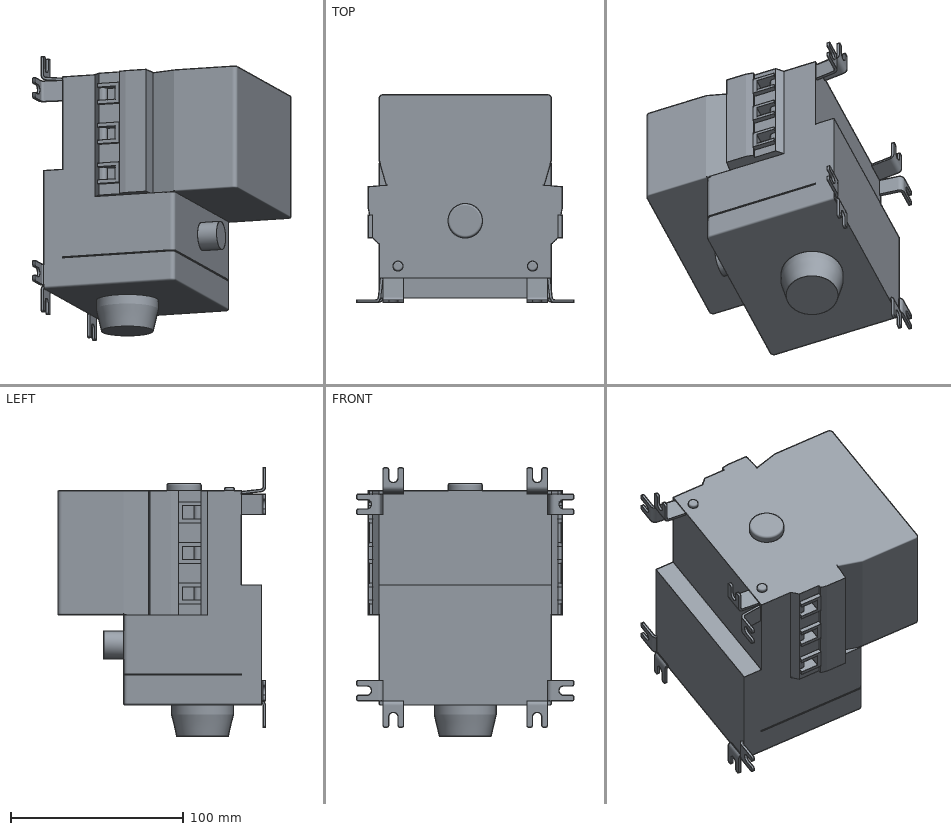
import cadquery as cq
import math

HOUSING_WIDTH = 100.0
HALF_WIDTH = HOUSING_WIDTH / 2
HOUSING_HEIGHT = 124.3
BASE_FRONT = 2.4
BASE_BACK = 82.4
BASE_STEP_HEIGHT = 69.7
UPPER_FRONT = 14.0
UPPER_BACK = 120.48
UPPER_HEIGHT = 72.0
UPPER_BOTTOM = HOUSING_HEIGHT - UPPER_HEIGHT
REAR_CORNER_RADIUS = 2.5
BASE_RIM_RADIUS = 1.2
UPPER_RIM_RADIUS = 0.8

GROOVE_BOTTOM = 17.4
GROOVE_WIDTH = 0.6
GROOVE_DEPTH = 0.3

NOTCH_HALF_WIDTH = 45.8
NOTCH_TIP = 67.9
WING_HALF_WIDTH = 56.3
WING_BACK = 67.1
WING_SHOULDER = 54.8
WING_NECK_HALF_WIDTH = 55.5
RECESS_HALF_WIDTH = 53.7
RECESS_BACK = 50.6
RECESS_FRONT = 37.4
WING_FRONT = 33.8

TERMINAL_COUNT = 3
TERMINAL_PITCH = 23.5
TERMINAL_HEIGHT = 12.0
FIRST_TERMINAL_DROP = 6.6
FIRST_TERMINAL_TOP = HOUSING_HEIGHT - FIRST_TERMINAL_DROP
WINDOW_HEIGHT = 7.8
WINDOW_LENGTH = 10.8
WINDOW_LAND = 1.8
WINDOW_LIP_RADIUS = 2.4

BUTTON_RADIUS = 10.0
BUTTON_HEIGHT = 4.3
BUTTON_EDGE_RADIUS = 1.3
BUTTON_Y = 47.3
SCREW_RADIUS = 2.9
SCREW_HEIGHT = 1.9
SCREW_EDGE_RADIUS = 1.0
SCREW_SPACING = 78.0
SCREW_Y = 21.0
REAR_BUTTON_RADIUS = 8.2
REAR_BUTTON_BACK = 94.0
REAR_BUTTON_Z = 34.8
KNOB_RADIUS = 18.0
KNOB_TIP_RADIUS = 15.0
KNOB_Y = 36.6
KNOB_COLLAR_HEIGHT = 5.5
KNOB_HEIGHT = 18.1

LUG_WIDTH = 12.0
LUG_REACH = 15.3
LUG_THICKNESS = 1.5
LUG_SLOT_WIDTH = 5.3
LUG_SLOT_DEPTH = 8.6
LUG_TIP_RADIUS = 1.2
BEND_RADIUS = 1.5
UPPER_FOOT_ANGLE = 6.5
LOWER_FOOT_ANGLE = 45.0
LUG_SPAN = 126.01
FOOT_OVERLAP = 0.1
CORNER_X = LUG_SPAN / 2 - LUG_REACH
LUG_RISE = 13.4
UPPER_CORNER_Z = HOUSING_HEIGHT + LUG_RISE - LUG_REACH
LOWER_CORNER_Z = 2.4


def box(x_range, y_range, z_range):
    """Box spanning the given limits."""
    size = [high - low for low, high in (x_range, y_range, z_range)]
    corner = cq.Vector(x_range[0], y_range[0], z_range[0])
    return cq.Workplane(cq.Solid.makeBox(*size, corner))


def both_sides(body):
    """The body together with its mirror image across X = 0."""
    return body.union(body.mirror("YZ"))


def make_base():
    side = (-HALF_WIDTH, HALF_WIDTH)
    base = box(side, (BASE_FRONT, BASE_BACK), (0, UPPER_BOTTOM))
    base = base.edges("|Z and >Y").fillet(REAR_CORNER_RADIUS)
    base = base.faces("<Z").edges("not <Y").fillet(BASE_RIM_RADIUS)
    front = box(side, (BASE_FRONT, UPPER_FRONT), (UPPER_BOTTOM, BASE_STEP_HEIGHT))
    return base.union(front).cut(make_groove())


def make_groove():
    height = (GROOVE_BOTTOM, GROOVE_BOTTOM + GROOVE_WIDTH)
    outside = box((-HOUSING_WIDTH, HOUSING_WIDTH), (UPPER_FRONT, UPPER_BACK), height)
    core_half = HALF_WIDTH - GROOVE_DEPTH
    core = box((-core_half, core_half), (0, BASE_BACK - GROOVE_DEPTH), height)
    core = core.edges("|Z and >Y").fillet(REAR_CORNER_RADIUS - GROOVE_DEPTH)
    return outside.cut(core)


def edges_behind(y):
    """Selector for the edges whose centres lie behind the given Y."""
    low = (-HOUSING_WIDTH, y + UPPER_RIM_RADIUS, 0)
    high = (HOUSING_WIDTH, UPPER_BACK + UPPER_RIM_RADIUS, HOUSING_HEIGHT + UPPER_RIM_RADIUS)
    return cq.selectors.BoxSelector(low, high)


def make_upper_block():
    right_side = [
        (HALF_WIDTH, UPPER_FRONT),
        (HALF_WIDTH, WING_FRONT),
        (RECESS_HALF_WIDTH, RECESS_FRONT),
        (RECESS_HALF_WIDTH, RECESS_BACK),
        (WING_NECK_HALF_WIDTH, RECESS_BACK),
        (WING_HALF_WIDTH, WING_SHOULDER),
        (WING_HALF_WIDTH, WING_BACK),
        (NOTCH_HALF_WIDTH, NOTCH_TIP),
        (HALF_WIDTH, BASE_BACK),
        (HALF_WIDTH, UPPER_BACK),
    ]
    left_side = [(-x, y) for x, y in reversed(right_side)]
    block = cq.Workplane("XY", origin=(0, 0, UPPER_BOTTOM)).polyline(right_side + left_side).close()
    block = block.extrude(HOUSING_HEIGHT - UPPER_BOTTOM)
    block = block.edges("|Z and >Y").fillet(REAR_CORNER_RADIUS)
    rear = edges_behind(NOTCH_TIP)
    overhang = edges_behind(BASE_BACK)
    block = block.faces(">Z").edges(rear).fillet(UPPER_RIM_RADIUS)
    return block.faces("<Z").edges(overhang).fillet(UPPER_RIM_RADIUS)


def make_terminal_window(z_bottom):
    """Opening through a terminal's face and front, with a deeper pocket behind a rounded lip."""
    lip_y = RECESS_FRONT + WINDOW_LAND
    window = (
        cq.Workplane("XY", origin=(0, 0, z_bottom))
        .moveTo(WING_HALF_WIDTH, RECESS_FRONT)
        .lineTo(RECESS_HALF_WIDTH, RECESS_FRONT)
        .lineTo(RECESS_HALF_WIDTH, lip_y)
        .radiusArc((RECESS_HALF_WIDTH - WINDOW_LIP_RADIUS, lip_y + WINDOW_LIP_RADIUS), -WINDOW_LIP_RADIUS)
        .lineTo(HALF_WIDTH, lip_y + WINDOW_LIP_RADIUS)
        .lineTo(HALF_WIDTH, RECESS_FRONT + WINDOW_LENGTH)
        .lineTo(WING_HALF_WIDTH, RECESS_FRONT + WINDOW_LENGTH)
        .close()
    )
    return window.extrude(WINDOW_HEIGHT)


def add_terminals(body):
    for index in range(TERMINAL_COUNT):
        top = FIRST_TERMINAL_TOP - index * TERMINAL_PITCH
        bottom = top - TERMINAL_HEIGHT
        block = box((RECESS_HALF_WIDTH, WING_HALF_WIDTH), (RECESS_FRONT, RECESS_BACK), (bottom, top))
        window = make_terminal_window(bottom + (TERMINAL_HEIGHT - WINDOW_HEIGHT) / 2)
        body = body.union(both_sides(block)).cut(both_sides(window))
    return body


def make_top_button():
    button = cq.Workplane("XY", origin=(0, BUTTON_Y, HOUSING_HEIGHT)).circle(BUTTON_RADIUS)
    return button.extrude(BUTTON_HEIGHT).faces(">Z").edges().fillet(BUTTON_EDGE_RADIUS)


def make_screws():
    screw = cq.Workplane("XY", origin=(SCREW_SPACING / 2, SCREW_Y, HOUSING_HEIGHT)).circle(SCREW_RADIUS)
    screw = screw.extrude(SCREW_HEIGHT).faces(">Z").edges().fillet(SCREW_EDGE_RADIUS)
    return both_sides(screw)


def make_rear_button():
    button = cq.Workplane("XZ", origin=(0, BASE_BACK, REAR_BUTTON_Z)).circle(REAR_BUTTON_RADIUS)
    return button.extrude(BASE_BACK - REAR_BUTTON_BACK)


def make_knob():
    half_section = [
        (0, 0),
        (KNOB_RADIUS, 0),
        (KNOB_RADIUS, -KNOB_COLLAR_HEIGHT),
        (KNOB_TIP_RADIUS, -KNOB_HEIGHT),
        (0, -KNOB_HEIGHT),
    ]
    knob = cq.Workplane("XZ", origin=(0, KNOB_Y, 0)).polyline(half_section).close()
    return knob.revolve(360, (0, 0), (0, 1))


def make_lug(foot_angle, wall_y):
    """Lug pointing along +Z, its width along +X from 0; its foot reaches the wall at Z = 0, below the plate.

    The foot slopes at foot_angle to the Y axis and bends into the upright plate. Its end is square
    to the slope, so only the upper corner of the end is sunk into the wall.
    """
    angle = math.radians(foot_angle)
    slope = math.tan(angle)
    end_top_y = wall_y + FOOT_OVERLAP
    end_bottom_y = end_top_y - LUG_THICKNESS * math.sin(angle)
    end_top_z = LUG_THICKNESS * math.cos(angle)
    heel_z = end_bottom_y * slope
    inner_heel_z = end_top_z + (end_top_y - LUG_THICKNESS) * slope
    section = [
        (0, LUG_REACH),
        (0, heel_z),
        (end_bottom_y, 0),
        (end_top_y, end_top_z),
        (LUG_THICKNESS, inner_heel_z),
        (LUG_THICKNESS, LUG_REACH),
    ]
    lug = cq.Workplane("YZ").polyline(section).close().extrude(LUG_WIDTH)
    outer_bend = cq.selectors.NearestToPointSelector((LUG_WIDTH / 2, 0, heel_z))
    lug = lug.edges("|X").edges(outer_bend).fillet(BEND_RADIUS + LUG_THICKNESS)
    inner_bend = cq.selectors.NearestToPointSelector((LUG_WIDTH / 2, LUG_THICKNESS, inner_heel_z))
    lug = lug.edges("|X").edges(inner_bend).fillet(BEND_RADIUS)
    slot_radius = LUG_SLOT_WIDTH / 2
    slot = (
        cq.Workplane("XZ", origin=(LUG_WIDTH / 2, 0, LUG_REACH))
        .moveTo(-slot_radius, 0)
        .lineTo(-slot_radius, slot_radius - LUG_SLOT_DEPTH)
        .radiusArc((slot_radius, slot_radius - LUG_SLOT_DEPTH), -slot_radius)
        .lineTo(slot_radius, 0)
        .close()
        .extrude(-LUG_THICKNESS)
    )
    return lug.cut(slot).faces(">Z").edges("|Y").fillet(LUG_TIP_RADIUS)


def make_lug_pair(foot_angle, wall_y):
    """Two lugs at an upper right corner at X = Z = 0: one points along +Z, the other along +X."""
    upright = make_lug(foot_angle, wall_y).translate((-LUG_WIDTH, 0, 0))
    sideways = upright.mirror("XY").rotate((0, 0, 0), (0, 1, 0), -90)
    return upright.union(sideways)


def make_lugs():
    upper = make_lug_pair(UPPER_FOOT_ANGLE, UPPER_FRONT).translate((CORNER_X, 0, UPPER_CORNER_Z))
    lower = make_lug_pair(LOWER_FOOT_ANGLE, BASE_FRONT).mirror("XY").translate((CORNER_X, 0, LOWER_CORNER_Z))
    return both_sides(upper.union(lower))


part = add_terminals(make_base().union(make_upper_block()))
part = part.union(make_lugs())
for fitting in (make_top_button(), make_screws(), make_rear_button(), make_knob()):
    part = part.union(fitting)
result = part.solids()